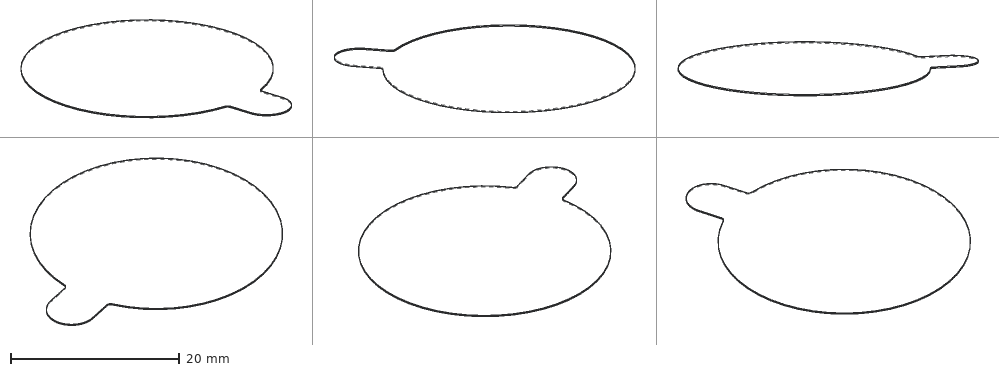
import cadquery as cq

overall_length = 36.2
disc_diameter = 30.0
tab_width = 6.0
neck_fillet = 0.5
thickness = 0.17

disc_radius = disc_diameter / 2
tab_end_radius = tab_width / 2
tab_end_centre_x = overall_length - disc_radius - tab_end_radius

disc = cq.Workplane("XY").circle(disc_radius).extrude(thickness)

tab_bar = (
    cq.Workplane("XY")
    .rect(tab_end_centre_x, tab_width)
    .extrude(thickness)
    .translate((tab_end_centre_x / 2, 0, 0))
)
tab_end = (
    cq.Workplane("XY")
    .center(tab_end_centre_x, 0)
    .circle(tab_end_radius)
    .extrude(thickness)
)
blank = disc.union(tab_bar).union(tab_end)

neck_x = (disc_radius**2 - tab_end_radius**2) ** 0.5
neck_corners = cq.selectors.BoxSelector(
    (neck_x - neck_fillet, -tab_width, -thickness),
    (neck_x + neck_fillet, tab_width, 2 * thickness),
)
result = blank.edges("|Z").edges(neck_corners).fillet(neck_fillet)